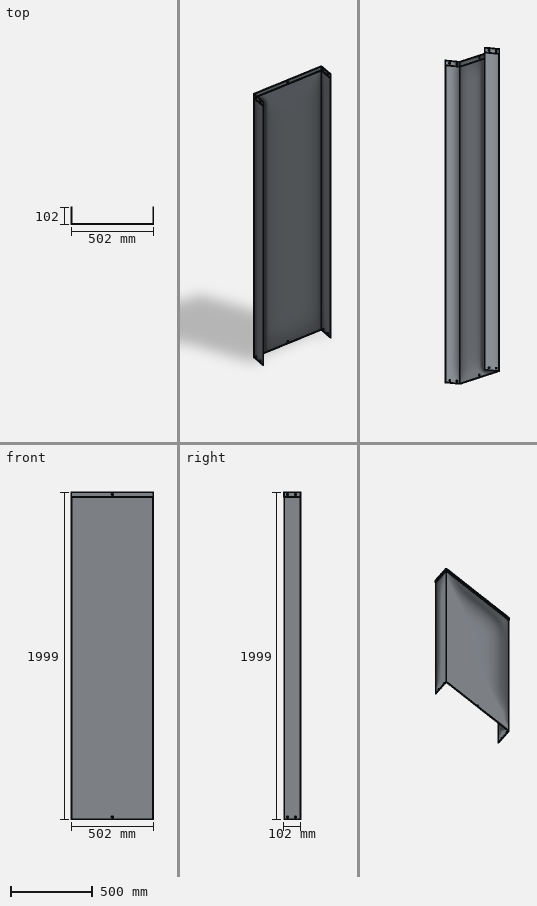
import cadquery as cq

width = 502.0
depth = 102.0
height = 1999.0

sheet = 1.0
lip_step = 1.0
lip_height = 30.0
step_height = 1.0

hole_diameter = 7.0
hole_end_distance = 15.0
flange_hole_offsets = (21.0, 71.0)

front_y = -depth / 2
rear_y = depth / 2
lip_base_z = height - lip_height
step_base_z = lip_base_z - step_height


def channel_outline(z, inset):
    """Closed U outline whose outer faces lie inset from the overall envelope."""
    outer_x = width / 2 - inset
    outer_y = front_y + inset
    inner_x = outer_x - sheet
    inner_y = outer_y + sheet
    return cq.Workplane("XY", origin=(0, 0, z)).polyline([
        (-outer_x, rear_y),
        (-outer_x, outer_y),
        (outer_x, outer_y),
        (outer_x, rear_y),
        (inner_x, rear_y),
        (inner_x, inner_y),
        (-inner_x, inner_y),
        (-inner_x, rear_y),
    ]).close()


def straight_channel(z_bottom, z_top, inset):
    return channel_outline(z_bottom, inset).extrude(z_top - z_bottom)


def sloped_channel(z_bottom, z_top, inset_bottom, inset_top):
    """Channel that shifts sideways between two levels."""
    lower = channel_outline(z_bottom, inset_bottom).wires().val()
    upper = channel_outline(z_top, inset_top).wires().val()
    return cq.Workplane(cq.Solid.makeLoft([lower, upper], True))


def front_hole(z):
    """Cutter through the middle of the front panel."""
    start = cq.Vector(0, front_y, z)
    length = 2 * (lip_step + sheet)
    return cq.Solid.makeCylinder(hole_diameter / 2, length, start, cq.Vector(0, 1, 0))


def flange_hole(y, z):
    """Cutter through both side flanges."""
    start = cq.Vector(-width / 2, y, z)
    return cq.Solid.makeCylinder(hole_diameter / 2, width, start, cq.Vector(1, 0, 0))


body_inset = lip_step
lip_inset = 0.0
result = straight_channel(0, step_base_z, body_inset)
result = result.union(sloped_channel(step_base_z, lip_base_z, body_inset, lip_inset))
result = result.union(straight_channel(lip_base_z, height, lip_inset))

for hole_z in (hole_end_distance, height - hole_end_distance):
    result = result.cut(cq.Workplane(front_hole(hole_z)))
    for offset in flange_hole_offsets:
        result = result.cut(cq.Workplane(flange_hole(front_y + offset, hole_z)))